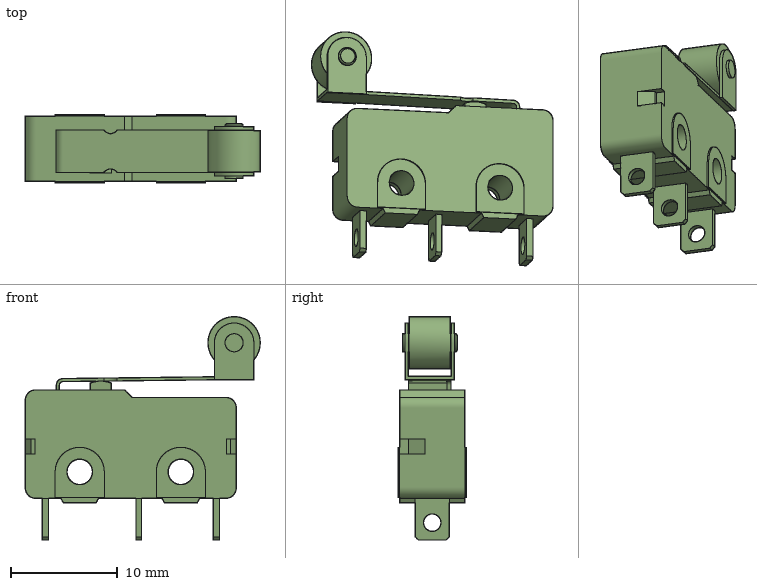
import cadquery as cq
import math


total_length = 22.05
total_depth = 6.4

housing_length = 19.8
housing_depth = 6.1
housing_height = 10.2
low_top_height = 9.49
ramp_start_x = 9.33
corner_radius = 1.0

cover_back_y = -2.23

mount_hole_positions = (5.12, 14.6)
cover_hole_diameter = 2.4
case_hole_diameter = 2.35
mount_hole_z = 2.5
pad_width = 4.6
pad_bottom_z = 0.09
pad_face_y = total_depth / 2
foot_top_width = 3.53
foot_bottom_width = 3.09
foot_height = 0.42

notch_bottom_z = 4.17
notch_height = 1.41
notch_depth = 0.9
notch_step_depth = 0.55
notch_end_y = -0.66

terminal_thicknesses = {1.9: 0.62, 10.65: 0.55, 17.93: 0.62}
terminal_width = 3.22
terminal_length = 3.9
terminal_chamfer = 0.3
terminal_hole_diameter = 1.6
terminal_hole_z = -2.27

embed_depth = 0.22

sheet_thickness = 0.3
lever_front_y = -2.23
lever_back_y = 1.76
lever_mid_y = (lever_front_y + lever_back_y) / 2
lever_left_x = 2.91
lever_left_top_z = 11.25
lever_right_top_z = 11.47
bend_radius = 0.65
lever_notch_x = 8.0
lever_notch_length = 1.24
lever_notch_depth = 0.33

roller_diameter = 4.92
roller_width = 3.88
roller_x = total_length - roller_diameter / 2
roller_z = 14.6
plate_width = 3.7
plate_bottom_z = 11.12
axle_diameter = 1.7
axle_front_y = -2.78
axle_back_y = 2.38
axle_chamfer = 0.15

plunger_left_x = 6.09
plunger_width = 2.0
plunger_top_z = 11.0
plunger_crown_radius = 2.87
plunger_front_y = -2.25
plunger_back_y = 1.37


def extrude_y(profile, front_y, back_y):
    """Extrude a closed XZ profile from front_y to back_y."""
    return profile.extrude(back_y - front_y).translate((0, back_y, 0))


def cylinder_y(x, z, diameter, front_y, back_y):
    profile = cq.Workplane("XZ").center(x, z).circle(diameter / 2)
    return extrude_y(profile, front_y, back_y)


def arched_plate(x, z, width, bottom_z, front_y, back_y):
    """Plate with a flat bottom and a half-round top centred at (x, z)."""
    half = width / 2
    profile = (
        cq.Workplane("XZ")
        .moveTo(x - half, bottom_z)
        .lineTo(x - half, z)
        .threePointArc((x, z + half), (x + half, z))
        .lineTo(x + half, bottom_z)
        .close()
    )
    return extrude_y(profile, front_y, back_y)


def make_housing_body():
    ramp_end_x = ramp_start_x + housing_height - low_top_height
    profile = cq.Workplane("XZ").polyline([
        (0, 0),
        (0, housing_height),
        (ramp_start_x, housing_height),
        (ramp_end_x, low_top_height),
        (housing_length, low_top_height),
        (housing_length, 0),
    ]).close()
    body = extrude_y(profile, -housing_depth / 2, housing_depth / 2)
    return body.edges("|Y and (<X or >X)").fillet(corner_radius)


def make_foot(x):
    """Tapered foot under a mounting pad, as deep as the housing."""
    profile = cq.Workplane("XZ").polyline([
        (x - foot_top_width / 2, 0),
        (x - foot_bottom_width / 2, -foot_height),
        (x + foot_bottom_width / 2, -foot_height),
        (x + foot_top_width / 2, 0),
    ]).close()
    return extrude_y(profile, -housing_depth / 2, housing_depth / 2)


def make_latch_notch():
    """Left end notch: a deep front part, then a shallower sloping part."""
    front_y = -housing_depth / 2
    return (
        cq.Workplane("XY", origin=(0, 0, notch_bottom_z))
        .polyline([
            (0, front_y),
            (notch_depth, front_y),
            (notch_depth, cover_back_y),
            (notch_step_depth, cover_back_y),
            (0, notch_end_y),
        ])
        .close()
        .extrude(notch_height)
    )


def make_terminal(x, thickness):
    """Blade below the housing with chamfered tip corners and a hole."""
    blade = (
        cq.Workplane("XY")
        .box(thickness, terminal_width, terminal_length + embed_depth, centered=(True, True, False))
        .translate((x, 0, -terminal_length))
        .edges("|X and <Z")
        .chamfer(terminal_chamfer)
    )
    hole = (
        cq.Workplane("YZ", origin=(x, 0, terminal_hole_z))
        .circle(terminal_hole_diameter / 2)
        .extrude(thickness, both=True)
    )
    return blade.cut(hole)


def make_plunger():
    """Block with a crowned top that touches the lever."""
    half = plunger_width / 2
    crown_drop = plunger_crown_radius - math.sqrt(plunger_crown_radius**2 - half**2)
    shoulder_z = plunger_top_z - crown_drop
    right_x = plunger_left_x + plunger_width
    bottom_z = housing_height - embed_depth
    profile = (
        cq.Workplane("XZ")
        .moveTo(plunger_left_x, bottom_z)
        .lineTo(plunger_left_x, shoulder_z)
        .threePointArc((plunger_left_x + half, plunger_top_z), (right_x, shoulder_z))
        .lineTo(right_x, bottom_z)
        .close()
    )
    return extrude_y(profile, plunger_front_y, plunger_back_y)


def make_lever_notch(edge_y, inward):
    """Cutter for a round notch in a long lever edge; inward is +1 or -1 along Y."""
    half = lever_notch_length / 2
    return (
        cq.Workplane("XY", origin=(lever_notch_x, edge_y, housing_height))
        .moveTo(-half, 0)
        .threePointArc((0, inward * lever_notch_depth), (half, 0))
        .close()
        .extrude(lever_right_top_z - housing_height)
    )


def make_lever():
    """Bent sheet strip rising from the housing and sloping up to the roller."""
    right_x = roller_x + plate_width / 2
    slope = (lever_right_top_z - lever_left_top_z) / (right_x - lever_left_x)
    inner_x = lever_left_x + sheet_thickness
    inner_z = lever_left_top_z - sheet_thickness + slope * sheet_thickness
    bottom_z = housing_height - embed_depth
    profile = cq.Workplane("XZ").polyline([
        (lever_left_x, bottom_z),
        (lever_left_x, lever_left_top_z),
        (right_x, lever_right_top_z),
        (right_x, lever_right_top_z - sheet_thickness),
        (inner_x, inner_z),
        (inner_x, bottom_z),
    ]).close()
    strip = extrude_y(profile, lever_front_y, lever_back_y)
    outer_bend = cq.selectors.NearestToPointSelector((lever_left_x, lever_mid_y, lever_left_top_z))
    strip = strip.edges("|Y").edges(outer_bend).fillet(bend_radius)
    inner_bend = cq.selectors.NearestToPointSelector((inner_x, lever_mid_y, inner_z))
    strip = strip.edges("|Y").edges(inner_bend).fillet(bend_radius - sheet_thickness)
    strip = strip.cut(make_lever_notch(lever_front_y, 1))
    return strip.cut(make_lever_notch(lever_back_y, -1))


def make_axle():
    axle = cylinder_y(roller_x, roller_z, axle_diameter, axle_front_y, axle_back_y)
    return axle.faces(">Y").chamfer(axle_chamfer)


housing = make_housing_body()
for hole_x in mount_hole_positions:
    pad = arched_plate(hole_x, mount_hole_z, pad_width, pad_bottom_z, -pad_face_y, pad_face_y)
    cover_hole = cylinder_y(hole_x, mount_hole_z, cover_hole_diameter, -pad_face_y, cover_back_y)
    case_hole = cylinder_y(hole_x, mount_hole_z, case_hole_diameter, cover_back_y, pad_face_y)
    housing = housing.union(make_foot(hole_x)).union(pad).cut(cover_hole).cut(case_hole)

left_notch = make_latch_notch()
right_notch = left_notch.mirror("YZ").translate((housing_length, 0, 0))
housing = housing.cut(left_notch).cut(right_notch)

lever = make_lever()
for plate_front_y in (lever_front_y - sheet_thickness, lever_back_y):
    plate_back_y = plate_front_y + sheet_thickness
    lever = lever.union(
        arched_plate(roller_x, roller_z, plate_width, plate_bottom_z, plate_front_y, plate_back_y)
    )
roller_front_y = lever_mid_y - roller_width / 2
roller_back_y = lever_mid_y + roller_width / 2
roller = cylinder_y(roller_x, roller_z, roller_diameter, roller_front_y, roller_back_y)
lever = lever.union(roller).union(make_axle())

result = housing
for terminal_x, terminal_thickness in terminal_thicknesses.items():
    result = result.union(make_terminal(terminal_x, terminal_thickness))
result = result.union(make_plunger()).union(lever)